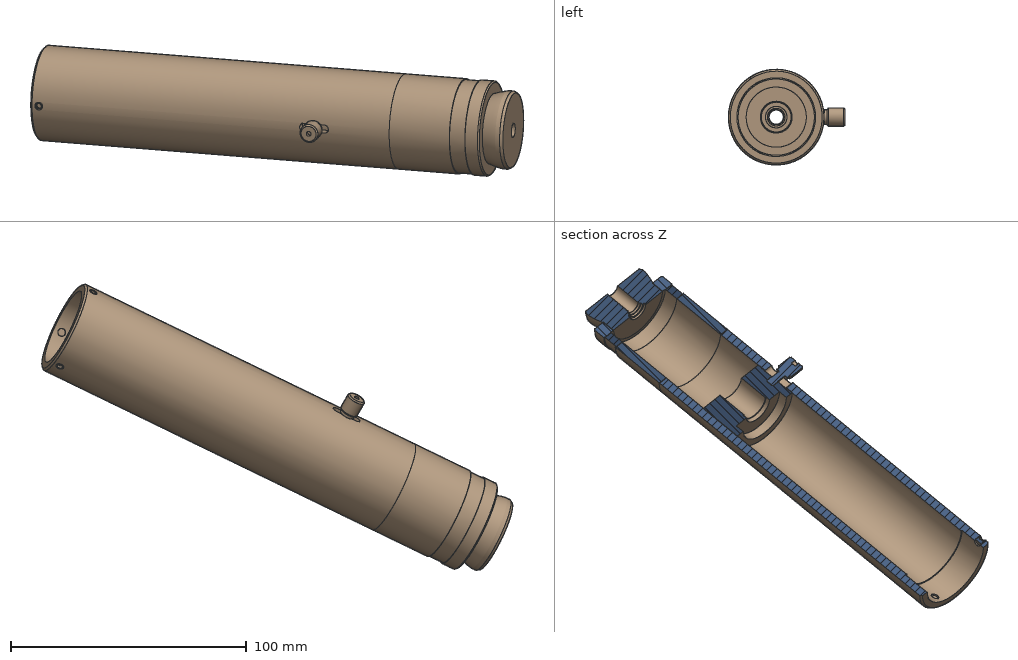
import cadquery as cq

total_length = 207.5
outer_diameter = 40.7
objective_chamfer = 0.8

tube_length = 158.5
front_bore_diameter = 33.4
front_bore_depth = 12.9
bore_diameter = 32.4

barrel_end = 185.0
spacer_end = 191.9
cap_end = 198.0
cap_chamfer = 0.6
spacer_diameter = 39.8
cap_bore_diameter = 29.0

cup_neck_diameter = 30.0
cup_rim_diameter = 33.4
cup_end_diameter = 32.0
cup_flare_end = 204.3
cup_rim_end = 206.2
cup_flare_bulge = 0.2
eye_step_diameters = (9.1, 7.5, 6.5)
eye_step_length = 1.0
eye_hole_diameter = 6.0

carriage_length = 20.7
carriage_recess_diameter = 25.5
carriage_recess_depth = 4.1
carriage_seat_diameter = 13.5
carriage_seat_depth = 2.0
carriage_hole_diameter = 12.7

knob_x = 125.5
knob_chamfer = 0.6
knob_diameter = 7.9
knob_tip = 29.2
knob_shoulder = 21.5
knob_neck_diameter = 6.5
knob_neck_start = 20.3
knob_pin_diameter = 3.5
knob_pin_depth = 3.1
knob_hole_diameter = 2.0
knob_hole_depth = 2.0
slot_length = 12.7
slot_center_x = 125.3

screw_count = 3
screw_x = 3.7
screw_diameter = 3.3
screw_recess = 0.2
screw_tip_recess = 0.6
screw_socket_diameter = 2.3
screw_socket_depth = 1.0

outer_radius = outer_diameter / 2
front_bore_radius = front_bore_diameter / 2
bore_radius = bore_diameter / 2
knob_pin_start = bore_radius - knob_pin_depth


def cylinder(diameter, start, end):
    """Cylinder along X from x = start to x = end."""
    return cq.Workplane("YZ", origin=(start, 0, 0)).circle(diameter / 2).extrude(end - start)


def sideways_cylinder(x, diameter, start, end):
    """Cylinder pointing along -Y at the given x, between two distances from the axis."""
    return cq.Workplane("XZ", origin=(x, -start, 0)).circle(diameter / 2).extrude(end - start)


def screw_angle(index):
    """Rotation about X that carries the -Y direction to a set screw."""
    return index * 360 / screw_count


def turned_about_axis(shape, angle):
    return shape.rotate((0, 0, 0), (1, 0, 0), angle)


def make_tube():
    tube = cylinder(outer_diameter, 0, tube_length).faces("<X").chamfer(objective_chamfer)
    tube = tube.cut(cylinder(front_bore_diameter, 0, front_bore_depth))
    tube = tube.cut(cylinder(bore_diameter, front_bore_depth, tube_length))
    slot = (
        cq.Workplane("XZ", origin=(slot_center_x, 0, 0))
        .slot2D(slot_length, knob_pin_diameter)
        .extrude(outer_diameter)
    )
    tube = tube.cut(slot)
    for index in range(screw_count):
        hole = sideways_cylinder(screw_x, screw_diameter, 0, outer_diameter)
        tube = tube.cut(turned_about_axis(hole, screw_angle(index)))
    return tube


def make_barrel():
    return cylinder(outer_diameter, tube_length, barrel_end).cut(
        cylinder(bore_diameter, tube_length, barrel_end)
    )


def make_spacer():
    return cylinder(spacer_diameter, barrel_end, spacer_end).cut(
        cylinder(bore_diameter, barrel_end, spacer_end)
    )


def make_cap():
    cap = cylinder(outer_diameter, spacer_end, cap_end).faces(">X").chamfer(cap_chamfer)
    return cap.cut(cylinder(cap_bore_diameter, spacer_end, cap_end))


def make_eyecup():
    """Spigot in the cap, then a bulged flare, a short rim and a bevelled end, bored for the eye."""
    neck_radius = cup_neck_diameter / 2
    rim_radius = cup_rim_diameter / 2
    flare_middle = ((cap_end + cup_flare_end) / 2, (neck_radius + rim_radius) / 2 + cup_flare_bulge)
    cup = (
        cq.Workplane("XY")
        .moveTo(spacer_end, 0)
        .lineTo(spacer_end, cap_bore_diameter / 2)
        .lineTo(cap_end, cap_bore_diameter / 2)
        .lineTo(cap_end, neck_radius)
        .threePointArc(flare_middle, (cup_flare_end, rim_radius))
        .lineTo(cup_rim_end, rim_radius)
        .lineTo(total_length, cup_end_diameter / 2)
        .lineTo(total_length, 0)
        .close()
        .revolve(360, (0, 0, 0), (1, 0, 0))
    )
    for index, diameter in enumerate(eye_step_diameters):
        step_end = spacer_end + (index + 1) * eye_step_length
        cup = cup.cut(cylinder(diameter, spacer_end, step_end))
    return cup.cut(cylinder(eye_hole_diameter, spacer_end, total_length))


def make_carriage():
    start = knob_x - carriage_length / 2
    end = knob_x + carriage_length / 2
    carriage = cylinder(bore_diameter, start, end)
    recess_end = start + carriage_recess_depth
    carriage = carriage.cut(cylinder(carriage_recess_diameter, start, recess_end))
    carriage = carriage.cut(cylinder(carriage_seat_diameter, recess_end, recess_end + carriage_seat_depth))
    carriage = carriage.cut(cylinder(carriage_hole_diameter, start, end))
    return carriage.cut(sideways_cylinder(knob_x, knob_pin_diameter, knob_pin_start, outer_radius))


def make_knob():
    """Grip with bevelled ends, a neck against the tube and a pin into the carriage."""
    knob = sideways_cylinder(knob_x, knob_diameter, knob_shoulder, knob_tip)
    knob = knob.faces("<Y or >Y").chamfer(knob_chamfer)
    knob = knob.union(sideways_cylinder(knob_x, knob_neck_diameter, knob_neck_start, knob_shoulder))
    knob = knob.union(sideways_cylinder(knob_x, knob_pin_diameter, knob_pin_start, knob_neck_start))
    return knob.cut(sideways_cylinder(knob_x, knob_hole_diameter, knob_tip - knob_hole_depth, knob_tip))


def make_set_screw(index):
    """Socket screw that stops slightly short of the bore and of the outer surface."""
    head = outer_radius - screw_recess
    screw = sideways_cylinder(screw_x, screw_diameter, front_bore_radius + screw_tip_recess, head)
    socket = sideways_cylinder(screw_x, screw_socket_diameter, head - screw_socket_depth, head)
    return turned_about_axis(screw.cut(socket), screw_angle(index))


tube = make_tube()
barrel = make_barrel()
spacer = make_spacer()
cap = make_cap()
eyecup = make_eyecup()
carriage = make_carriage()
knob = make_knob()
set_screws = [make_set_screw(index) for index in range(screw_count)]

result = cq.Compound.makeCompound(
    [
        tube.val(),
        barrel.val(),
        spacer.val(),
        cap.val(),
        eyecup.val(),
        carriage.val(),
        knob.val(),
        *[screw.val() for screw in set_screws],
    ]
)